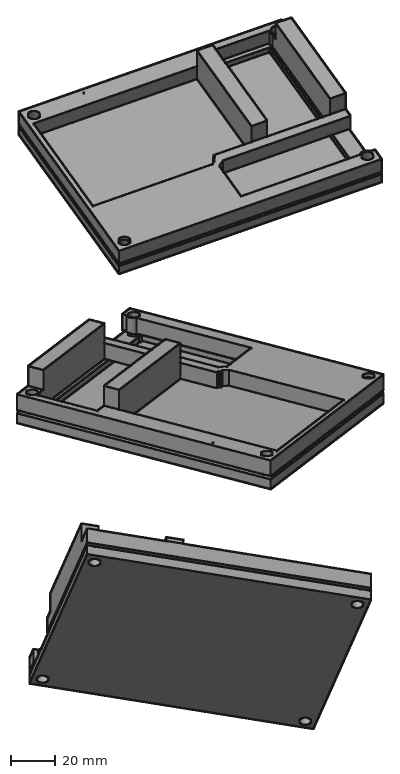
import cadquery as cq

LENGTH_X = 101.27
LENGTH_Y = 133.02
BASE_THICKNESS = 5.0
PLATE_GAP = 1.57
FRAME_THICKNESS = 8.0
BAR_RISE = 10.0
FRAME_BOTTOM = BASE_THICKNESS + PLATE_GAP
FRAME_TOP = FRAME_BOTTOM + FRAME_THICKNESS
BAR_TOP = FRAME_TOP + BAR_RISE

HOLE_DIAMETER = 5.4
HOLE_LEFT = 5.2
HOLE_FRONT = 5.1
HOLE_SPACING_X = 91.27
HOLE_SPACING_Y = 123.02
BASE_HOLE_WALL = 1.2
FRAME_HOLE_WALL = 0.75
BASE_COLLAR_DIAMETER = HOLE_DIAMETER + 2 * BASE_HOLE_WALL
FRAME_COLLAR_DIAMETER = HOLE_DIAMETER + 2 * FRAME_HOLE_WALL
HOLE_X = (HOLE_LEFT, HOLE_LEFT + HOLE_SPACING_X)
HOLE_Y = (HOLE_FRONT, HOLE_FRONT + HOLE_SPACING_Y)
HOLE_CENTERS = [(x, y) for x in HOLE_X for y in HOLE_Y]

MOUTH_DIAMETER = 5.41
MOUTH_DEPTH = 2.0
MOUTH_CENTER = (HOLE_X[1], HOLE_Y[0])

POCKET_DEPTH = 3.0
POCKET_FRONT = 3.5
POCKET_BACK = LENGTH_Y - 8.5
POCKET_LEFT = 5.0
POCKET_RIGHT = LENGTH_X - 4.0

LEFT_WALL = 10.0
FRONT_WALL = 2.5
RIB_LEFT = 64.9
RIB_RIGHT = 69.9
RIB_END = 66.1

RIB_STEP_LEFT = 66.3
RIB_STEP_RIGHT = 68.2
RIB_STEP_FRONT = 65.0
RIB_BEVEL_FRONT = 62.8

SIDE_RIGHT = 94.3
SIDE_FRONT = 65.3
SIDE_BEVEL_X = 2.5
SIDE_BEVEL_Y = 3.1

BAR_WIDTH = 8.0
BACK_BAR_FRONT = LENGTH_Y - BAR_WIDTH
BAR_SPACING = 31.8
MIDDLE_BAR_BACK = BACK_BAR_FRONT - BAR_SPACING
MIDDLE_BAR_FRONT = MIDDLE_BAR_BACK - BAR_WIDTH

NOTCH_LEFT = 4.0

PIN_HOLE_DIAMETER = 0.35
PIN_HOLE_X = 2.5
PIN_HOLE_Y = 31.7


def block(x_min, x_max, y_min, y_max, z_min, z_max):
    """Box given by its limits along each axis."""
    return (
        cq.Workplane("XY", origin=(x_min, y_min, z_min))
        .box(x_max - x_min, y_max - y_min, z_max - z_min, centered=False)
    )


def cylinders(centers, diameter, z_min, z_max):
    """Vertical cylinders at the given centres."""
    return (
        cq.Workplane("XY", origin=(0, 0, z_min))
        .pushPoints(centers)
        .circle(diameter / 2)
        .extrude(z_max - z_min)
    )


def frame_prism(points):
    """Upright prism through the full thickness of the frame."""
    return (
        cq.Workplane("XY", origin=(0, 0, FRAME_BOTTOM))
        .polyline(points)
        .close()
        .extrude(FRAME_THICKNESS)
    )


def main_opening():
    return frame_prism([
        (LEFT_WALL, FRONT_WALL),
        (RIB_RIGHT, FRONT_WALL),
        (RIB_RIGHT, RIB_BEVEL_FRONT),
        (RIB_STEP_RIGHT, RIB_STEP_FRONT),
        (RIB_STEP_LEFT, RIB_STEP_FRONT),
        (RIB_STEP_LEFT, RIB_END),
        (RIB_LEFT, RIB_END),
        (RIB_LEFT, LENGTH_Y),
        (LEFT_WALL, LENGTH_Y),
    ])


def side_opening():
    return frame_prism([
        (RIB_RIGHT, SIDE_FRONT + SIDE_BEVEL_Y),
        (RIB_RIGHT + SIDE_BEVEL_X, SIDE_FRONT),
        (SIDE_RIGHT, SIDE_FRONT),
        (SIDE_RIGHT, LENGTH_Y),
        (RIB_RIGHT, LENGTH_Y),
    ])


def make_base():
    """Lower plate with a shallow pocket that leaves a round wall at each screw hole."""
    plate = block(0, LENGTH_X, 0, LENGTH_Y, 0, BASE_THICKNESS)
    floor = BASE_THICKNESS - POCKET_DEPTH
    pocket = block(
        POCKET_LEFT, POCKET_RIGHT, POCKET_FRONT, POCKET_BACK, floor, BASE_THICKNESS
    )
    pocket = pocket.cut(cylinders(HOLE_CENTERS, BASE_COLLAR_DIAMETER, floor, BASE_THICKNESS))
    screw_holes = cylinders(HOLE_CENTERS, HOLE_DIAMETER, 0, BASE_THICKNESS)
    return plate.cut(pocket).cut(screw_holes)


def make_frame():
    """Upper plate with its through openings, tied together by two raised crossbars."""
    frame = block(0, LENGTH_X, 0, LENGTH_Y, FRAME_BOTTOM, FRAME_TOP)
    notch = block(
        NOTCH_LEFT, LEFT_WALL, MIDDLE_BAR_BACK, BACK_BAR_FRONT, FRAME_BOTTOM, FRAME_TOP
    )
    frame = frame.cut(main_opening()).cut(side_opening()).cut(notch)

    for bar_front in (MIDDLE_BAR_FRONT, BACK_BAR_FRONT):
        bar = block(
            LEFT_WALL, RIB_LEFT, bar_front, bar_front + BAR_WIDTH, FRAME_BOTTOM, BAR_TOP
        )
        frame = frame.union(bar)

    frame = frame.union(cylinders(HOLE_CENTERS, FRAME_COLLAR_DIAMETER, FRAME_BOTTOM, FRAME_TOP))
    screw_holes = cylinders(HOLE_CENTERS, HOLE_DIAMETER, FRAME_BOTTOM, FRAME_TOP)
    pin_hole = cylinders([(PIN_HOLE_X, PIN_HOLE_Y)], PIN_HOLE_DIAMETER, FRAME_BOTTOM, FRAME_TOP)
    mouth = cylinders([MOUTH_CENTER], MOUTH_DIAMETER, FRAME_TOP - MOUTH_DEPTH, FRAME_TOP)
    return frame.cut(screw_holes).cut(mouth).cut(pin_hole)


base = make_base()
frame = make_frame()
result = cq.Compound.makeCompound([*base.solids().vals(), *frame.solids().vals()])